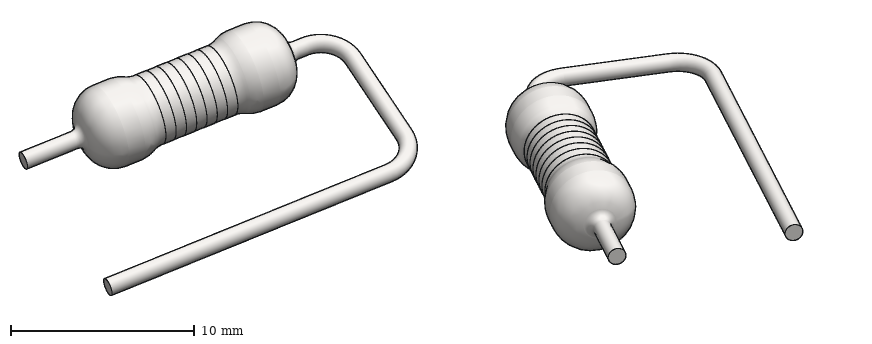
import cadquery as cq
import math

wire_diameter = 1.0
wire_radius = wire_diameter / 2
lead_pitch = 10.0
overall_length = 19.8
bend_radius = 2.0
wire_top_y = overall_length - wire_radius
bend_start_y = wire_top_y - bend_radius

body_middle_y = 9.94
cap_radius = 4.8 / 2
cap_round = 1.7
cap_round_half_span = 4.65
cap_inner_half_span = 3.65
neck_fillet = 0.5

waist_radius = 4.08 / 2
band_radius = 4.1 / 2
band_count = 4
band_width = 0.63
band_pitch = 2 * band_width
waist_half_span = (2 * band_count - 1) * band_width / 2


def end_cap():
    """Revolve the flare, cap and neck at the +Y end of the waist."""
    round_x = cap_radius - cap_round
    round_y = cap_round_half_span

    fillet_x = wire_radius + neck_fillet
    centre_dx = fillet_x - round_x
    centre_distance = cap_round + neck_fillet
    centre_dy = math.sqrt(centre_distance**2 - centre_dx**2)
    fillet_y = round_y + centre_dy
    joint_angle = math.atan2(centre_dy, centre_dx)

    def on_cap_round(angle):
        return (round_x + cap_round * math.cos(angle), round_y + cap_round * math.sin(angle))

    fillet_mid_angle = (joint_angle + math.pi + math.pi) / 2
    fillet_mid = (
        fillet_x + neck_fillet * math.cos(fillet_mid_angle),
        fillet_y + neck_fillet * math.sin(fillet_mid_angle),
    )

    flare_mid = (
        (waist_radius + cap_radius) / 2,
        (waist_half_span + cap_inner_half_span) / 2,
    )
    flare_drop = cap_radius - waist_radius
    flare_length = cap_inner_half_span - waist_half_span
    flare_arc_radius = (flare_length**2 + flare_drop**2) / (4 * flare_drop)
    flare_half_angle = math.atan(flare_drop / flare_length)
    flare_quarter = (
        waist_radius + flare_arc_radius * (1 - math.cos(flare_half_angle)),
        waist_half_span + flare_arc_radius * math.sin(flare_half_angle),
    )
    profile = (
        cq.Workplane("XY")
        .moveTo(0, waist_half_span)
        .lineTo(waist_radius, waist_half_span)
        .threePointArc(flare_quarter, flare_mid)
        .tangentArcPoint((cap_radius, cap_inner_half_span), relative=False)
        .lineTo(cap_radius, cap_round_half_span)
        .threePointArc(on_cap_round(joint_angle / 2), on_cap_round(joint_angle))
        .threePointArc(fillet_mid, (wire_radius, fillet_y))
        .lineTo(0, fillet_y)
        .close()
    )
    return profile.revolve(360, (0, 0, 0), (0, 1, 0))


def cylinder_along_y(radius, start_y, length):
    return cq.Workplane("XZ", origin=(0, start_y, 0)).circle(radius).extrude(-length)


def make_body():
    upper_cap = end_cap()
    waist = cylinder_along_y(waist_radius, -waist_half_span, 2 * waist_half_span)
    body = waist.union(upper_cap).union(upper_cap.mirror("XZ"))

    for index in range(band_count):
        start_y = -waist_half_span + index * band_pitch
        body = body.union(cylinder_along_y(band_radius, start_y, band_width))
    return body.translate((0, body_middle_y, 0))


def make_wire():
    """Sweep the round wire through the body, across and back down."""
    bend_offset = bend_radius * (1 - math.sqrt(0.5))
    path = (
        cq.Workplane("XY")
        .lineTo(0, bend_start_y)
        .threePointArc((bend_offset, wire_top_y - bend_offset), (bend_radius, wire_top_y))
        .lineTo(lead_pitch - bend_radius, wire_top_y)
        .threePointArc(
            (lead_pitch - bend_offset, wire_top_y - bend_offset),
            (lead_pitch, bend_start_y),
        )
        .lineTo(lead_pitch, 0)
    )
    return cq.Workplane("XZ").circle(wire_radius).sweep(path)


result = make_body().union(make_wire())